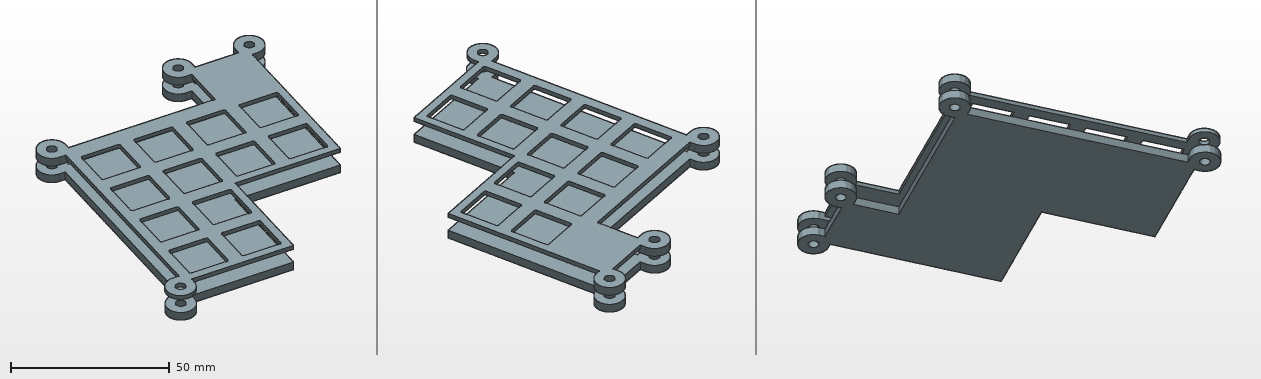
import cadquery as cq

total_width = 112.16
total_depth = 91.47
total_height = 9.5

plate_thickness = 1.5
plate_lug_thickness = 3.0
base_thickness = 3.0

key_pitch = 19.0
key_opening = 14.0
key_corner_radius = 0.5
first_key_x = 13.22
first_key_y = 10.68
keys_per_row = [4, 4, 2, 2]

key_border = 9.85
narrow_right = first_key_x + key_pitch + key_border
wide_right = narrow_right + 2 * key_pitch
step_y = first_key_y + key_pitch + key_border
back_y = step_y + 2 * key_pitch
tab_left = -18.12
tab_front = 55.65
base_front_lip = 0.27

lug_diameter = 10.0
lug_radius = lug_diameter / 2
screw_hole_diameter = 3.4
tab_lug_x = -20.2
tab_lug_front_y = 53.52
tab_lug_back_y = 79.2
front_left_lug_x = -1.86
front_lug_y = tab_lug_back_y + lug_diameter - total_depth
base_right_lug_x = tab_lug_x + total_width - lug_diameter
plate_right_lug_inset = 0.23
plate_right_lug_x = base_right_lug_x - plate_right_lug_inset

left_lugs = [
    (tab_lug_x, tab_lug_back_y, 1, -1),
    (tab_lug_x, tab_lug_front_y, 1, 1),
    (front_left_lug_x, front_lug_y, 1, 1),
]
base_right_lug = (base_right_lug_x, front_lug_y, -1, 1)
plate_right_lug = (plate_right_lug_x, front_lug_y, -1, 1)


def stepped_panel(front_y, bottom_z, thickness):
    """Flat panel with a narrow back half and a tab at the back left."""
    outline = [
        (0, front_y),
        (wide_right, front_y),
        (wide_right, step_y),
        (narrow_right, step_y),
        (narrow_right, back_y),
        (tab_left, back_y),
        (tab_left, tab_front),
        (0, tab_front),
    ]
    return cq.Workplane("XY", origin=(0, 0, bottom_z)).polyline(outline).close().extrude(thickness)


def add_lugs(body, lugs, bottom_z, thickness):
    """Join round lugs whose quarter facing the panel is filled out to a square corner."""
    plane = cq.Workplane("XY", origin=(0, 0, bottom_z))
    for x, y, toward_x, toward_y in lugs:
        disc = plane.center(x, y).circle(lug_radius).extrude(thickness)
        corner_centre = (x + toward_x * lug_radius / 2, y + toward_y * lug_radius / 2)
        corner = plane.center(*corner_centre).rect(lug_radius, lug_radius).extrude(thickness)
        body = body.union(disc).union(corner)
    return body


def screw_holes(lugs):
    centres = [(x, y) for x, y, toward_x, toward_y in lugs]
    return cq.Workplane("XY").pushPoints(centres).circle(screw_hole_diameter / 2).extrude(total_height)


def key_openings():
    centres = [
        (first_key_x + column * key_pitch, first_key_y + row * key_pitch)
        for row, key_count in enumerate(keys_per_row)
        for column in range(key_count)
    ]
    blocks = cq.Workplane("XY").pushPoints(centres).rect(key_opening, key_opening).extrude(total_height)
    return blocks.edges("|Z").fillet(key_corner_radius)


def make_base():
    """Solid bottom panel with four lugs of the same thickness."""
    lugs = left_lugs + [base_right_lug]
    panel = stepped_panel(-base_front_lip, 0, base_thickness)
    return add_lugs(panel, lugs, 0, base_thickness).cut(screw_holes(lugs))


def make_key_plate():
    """Thin top panel with key openings; three lugs hang below it and the right one is flush."""
    panel_bottom = total_height - plate_thickness
    lug_bottom = total_height - plate_lug_thickness
    plate = stepped_panel(0, panel_bottom, plate_thickness)
    plate = add_lugs(plate, left_lugs, lug_bottom, plate_lug_thickness)
    plate = add_lugs(plate, [plate_right_lug], panel_bottom, plate_thickness)
    return plate.cut(screw_holes(left_lugs + [plate_right_lug])).cut(key_openings())


base = make_base()
key_plate = make_key_plate()
result = cq.Compound.makeCompound([base.val(), key_plate.val()])